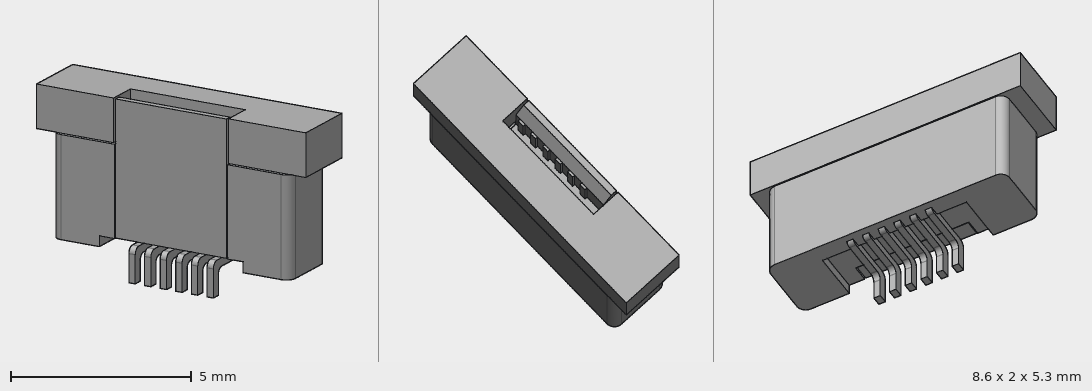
import cadquery as cq


cap_length = 8.6
depth = 2.0
cap_height = 1.3
cap_opening_width = 3.66

cap_gap = 0.04
housing_length = 7.6
housing_bottom = -4.4
housing_corner_radius = 0.28
housing_top = -cap_height - cap_gap

insert_width = 3.535
neck_back = 1.49
slot_back = 0.93
slot_bottom = -cap_height

notch_width = 4.58
notch_top = -4.085

flap_recess_width = 3.6
flap_thickness = 0.49
flap_clearance = 0.02
flap_tip_thickness = 0.2
flap_chamfer = flap_thickness - flap_tip_thickness
flap_top = -flap_clearance
flap_bottom = notch_top + flap_clearance

lead_count = 6
lead_pitch = 0.5
lead_width = 0.21
lead_tip = -5.3
lead_top = -4.25
lead_bottom = -4.5
lead_thickness = 0.28
lead_back = 1.815
bend_outer_radius = 0.2
bend_inner_radius = 0.18
contact_top = flap_top - flap_chamfer
contact_thickness = 0.08
contact_row_offset = lead_pitch / 2


def block(width, y_front, y_back, z_bottom, z_top, x_center=0.0):
    """Box given by its width along X and its limits along Y and Z."""
    return (
        cq.Workplane("XY")
        .box(width, y_back - y_front, z_top - z_bottom, centered=(True, False, False))
        .translate((x_center, y_front, z_bottom))
    )


def make_cap():
    cap = block(cap_length, 0, depth, -cap_height, 0)
    return cap.cut(block(cap_opening_width, 0, slot_back, -cap_height, 0))


def make_housing():
    housing = block(housing_length, 0, depth, housing_bottom, housing_top)
    housing = housing.edges("|Z").fillet(housing_corner_radius)
    flap_recess = block(flap_recess_width, 0, flap_thickness, notch_top, housing_top)
    notch = block(notch_width, 0, neck_back, housing_bottom, notch_top)
    return housing.cut(flap_recess).cut(notch)


def make_flap():
    flap = block(insert_width, 0, flap_thickness, flap_bottom, flap_top)
    return flap.edges(">Y and >Z").chamfer(flap_chamfer)


def make_lead(x_center):
    """L-shaped lead: a foot pointing down at the front, its tail bent up into the housing."""
    profile = (
        cq.Workplane("YZ")
        .moveTo(0, lead_tip)
        .lineTo(0, lead_top)
        .lineTo(lead_back, lead_top)
        .lineTo(lead_back, lead_bottom)
        .lineTo(lead_thickness, lead_bottom)
        .lineTo(lead_thickness, lead_tip)
        .close()
    )
    lead = profile.extrude(lead_width / 2, both=True)
    lead = lead.edges("|X and <Y and >Z").fillet(bend_outer_radius)
    inner_corner = cq.selectors.NearestToPointSelector((0, lead_thickness, lead_bottom))
    tail_corner = cq.selectors.NearestToPointSelector((0, lead_back, lead_bottom))
    lead = lead.edges("|X").edges(inner_corner).fillet(bend_inner_radius)
    lead = lead.edges("|X").edges(tail_corner).fillet(bend_inner_radius)
    return lead.translate((x_center, 0, 0))


def make_contact(x_center):
    """Contact strip standing in the slot against the back of the flap."""
    contact_back = flap_thickness + contact_thickness
    return block(lead_width, flap_thickness, contact_back, slot_bottom, contact_top, x_center)


neck = block(insert_width, 0, neck_back, housing_top, slot_bottom)
result = make_cap().union(make_housing()).union(neck).union(make_flap())

for index in range(lead_count):
    lead_x = (index - (lead_count - 1) / 2) * lead_pitch
    result = result.union(make_lead(lead_x))
    result = result.union(make_contact(lead_x + contact_row_offset))